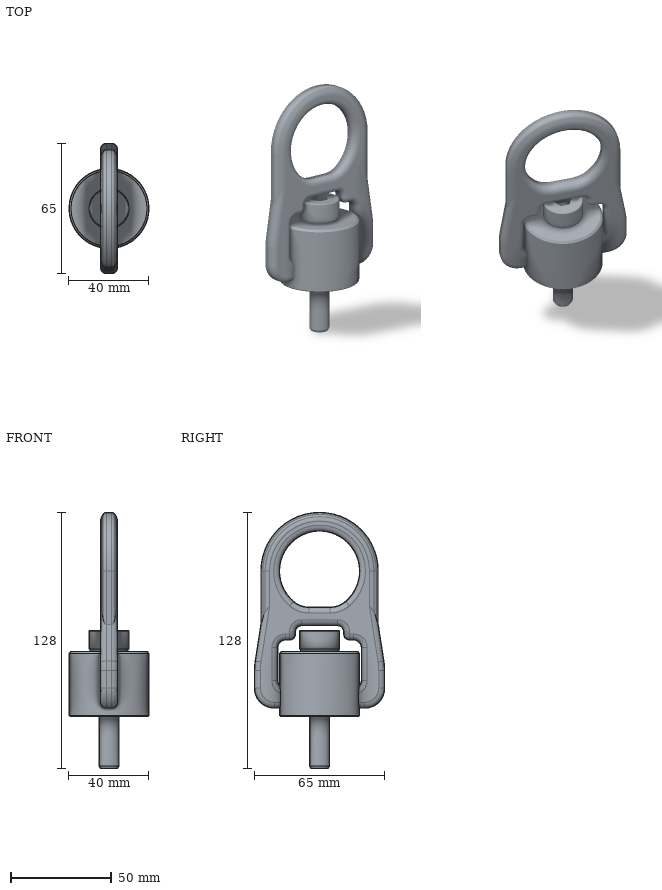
import cadquery as cq
import math


body_diameter = 40.0
body_height = 32.5
body_top_chamfer = 1.0
body_bottom_chamfer = 0.5
stud_diameter = 10.0
stud_length = 26.1
stud_tip_step = 0.8
stud_tip_height = 1.3
neck_diameter = 19.2
neck_height = 1.0
head_diameter = 20.0
head_height = 9.3
head_fillet = 0.5
socket_across_flats = 8.0
socket_depth = 5.8

overall_height = 128
plate_thickness = 8.5
edge_fillet = 3.0
half_thickness = plate_thickness / 2

arch_radius = 29.3
arch_top = overall_height - stud_length
eye_height = arch_top - arch_radius
rim_flat_half_width = 1.3
rim_crown_radius = 1.9
rim_shoulder_radius = 4.5
rim_bevel_angle = math.radians(60)

eye_radius = 20.0
eye_flat_depth = 18.0
eye_corner_radius = 12.0

foot_half_width = 32.5
foot_bottom = 4.1
foot_corner_radius = 10.0
flare_start = 25.3
flare_end = 46.0
flare_fillet = 30.0
flare_overlap = 13.5

window_half_width = 20.9
window_bottom = 14.1
window_top = 38.1
window_corner_radius = 3.8
slot_half_width = 12.0
slot_top = 45.3
slot_corner_radius = 3.1


def build_body_and_screw():
    body = cq.Workplane("XY").circle(body_diameter / 2).extrude(body_height)
    body = body.faces(">Z").chamfer(body_top_chamfer).faces("<Z").chamfer(body_bottom_chamfer)

    stud = cq.Workplane("XY").circle(stud_diameter / 2).extrude(-stud_length)
    stud = stud.faces("<Z").edges().chamfer(stud_tip_height, stud_tip_step)

    neck = cq.Workplane("XY", origin=(0, 0, body_height)).circle(neck_diameter / 2).extrude(neck_height)
    head_bottom = body_height + neck_height
    head = cq.Workplane("XY", origin=(0, 0, head_bottom)).circle(head_diameter / 2).extrude(head_height)
    head = head.faces(">Z").edges().fillet(head_fillet)

    socket = (
        cq.Workplane("XY", origin=(0, 0, head_bottom + head_height))
        .polygon(6, socket_across_flats, circumscribed=True)
        .extrude(-socket_depth)
    )
    return body.union(stud).union(neck).union(head.cut(socket))


def rim_half_section():
    """Half of the plate cross-section in XY, from its middle out to the crowned rim at +Y."""
    crown_x = rim_flat_half_width + rim_crown_radius * math.sin(rim_bevel_angle)
    crown_y = arch_radius - rim_crown_radius * (1 - math.cos(rim_bevel_angle))
    shoulder_x = half_thickness - rim_shoulder_radius * (1 - math.sin(rim_bevel_angle))
    shoulder_y = crown_y - (shoulder_x - crown_x) * math.tan(rim_bevel_angle)
    face_y = shoulder_y - rim_shoulder_radius * math.cos(rim_bevel_angle)
    return (
        cq.Workplane("XY", origin=(0, 0, eye_height))
        .moveTo(-half_thickness, 0)
        .lineTo(half_thickness, 0)
        .lineTo(half_thickness, face_y)
        .tangentArcPoint((shoulder_x, shoulder_y), relative=False)
        .lineTo(crown_x, crown_y)
        .tangentArcPoint((rim_flat_half_width, arch_radius), relative=False)
        .lineTo(-rim_flat_half_width, arch_radius)
        .tangentArcPoint((-crown_x, crown_y), relative=False)
        .lineTo(-shoulder_x, shoulder_y)
        .tangentArcPoint((-half_thickness, face_y), relative=False)
        .close()
    )


def build_arch():
    disc = rim_half_section().revolve(360, (0, 0, 0), (1, 0, 0))
    side = rim_half_section().extrude(flare_start - eye_height)
    return disc.union(side).union(side.mirror("XZ"))


def edges_near_height(z, half_width):
    """Selects the edges through the plate thickness at height z, at both ends of the given width."""
    margin = 0.1
    ends = [
        cq.selectors.BoxSelector(
            (-margin, y - margin, z - margin),
            (margin, y + margin, z + margin),
        )
        for y in (-half_width, half_width)
    ]
    return ends[0] + ends[1]


def build_flared_foot():
    flare_slope = (foot_half_width - arch_radius) / (flare_end - flare_start)
    foot_top = flare_end + flare_overlap
    foot_top_half_width = arch_radius - flare_slope * flare_overlap
    foot = (
        cq.Workplane("YZ", origin=(-half_thickness, 0, 0))
        .moveTo(-foot_half_width, foot_bottom)
        .lineTo(foot_half_width, foot_bottom)
        .lineTo(foot_half_width, flare_start)
        .lineTo(foot_top_half_width, foot_top)
        .lineTo(-foot_top_half_width, foot_top)
        .lineTo(-foot_half_width, flare_start)
        .close()
        .extrude(plate_thickness)
    )

    foot = foot.edges(edges_near_height(foot_bottom, foot_half_width)).fillet(foot_corner_radius)
    foot = foot.edges(edges_near_height(flare_start, foot_half_width)).fillet(flare_fillet)
    return foot.faces("<X or >X").edges("not >Z").fillet(edge_fillet)


def build_eye_cutter():
    corner_z = eye_corner_radius - eye_flat_depth
    corner_y = math.sqrt((eye_radius - eye_corner_radius) ** 2 - corner_z**2)
    stretch = eye_radius / (eye_radius - eye_corner_radius)
    tangent_y = corner_y * stretch
    tangent_z = corner_z * stretch
    return (
        cq.Workplane("YZ", origin=(-half_thickness, 0, eye_height))
        .moveTo(-corner_y, -eye_flat_depth)
        .lineTo(corner_y, -eye_flat_depth)
        .tangentArcPoint((tangent_y, tangent_z), relative=False)
        .threePointArc((0, eye_radius), (-tangent_y, tangent_z))
        .tangentArcPoint((-corner_y, -eye_flat_depth), relative=False)
        .close()
        .extrude(plate_thickness)
    )


def build_window_cutter():
    def opening(half_width, top):
        height = top - window_bottom
        block = cq.Workplane("XY").box(plate_thickness, 2 * half_width, height)
        return block.translate((0, 0, window_bottom + height / 2))

    wide = opening(window_half_width, window_top).edges("|X").fillet(window_corner_radius)
    slot = opening(slot_half_width, slot_top).edges("|X and >Z").fillet(slot_corner_radius)
    cutter = wide.union(slot)
    shelf_corners = cutter.edges(edges_near_height(window_top, slot_half_width))
    return shelf_corners.fillet(slot_corner_radius)


def build_shackle():
    plate = build_arch().union(build_flared_foot())
    plate = plate.cut(build_eye_cutter()).cut(build_window_cutter())
    opening_edges = [
        edge
        for face in plate.faces("<X or >X").vals()
        for wire in face.innerWires()
        for edge in wire.Edges()
    ]
    return plate.newObject(opening_edges).fillet(edge_fillet)


result = build_body_and_screw().union(build_shackle())